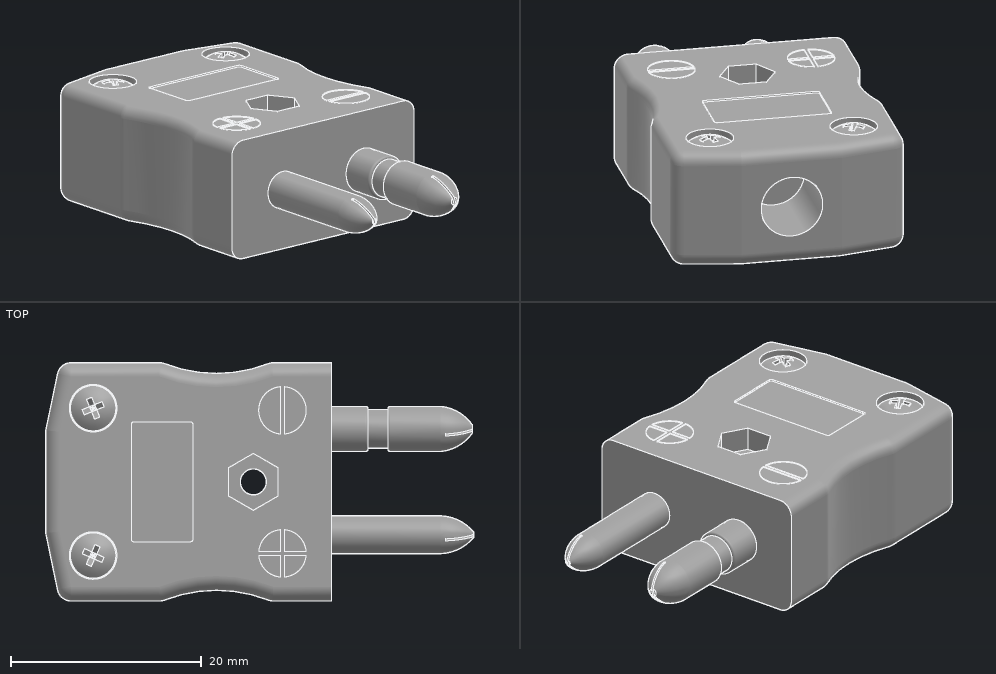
import cadquery as cq
import math

housing_length = 30.0
housing_width = 25.0
housing_height = 12.98
edge_radius = 1.5
rear_flat_width = 10.78
rear_setback = 1.5
grip_x = 17.9
grip_length = 11.35
grip_depth = 1.12
half_width = housing_width / 2
mid_height = housing_height / 2

cable_hole_diameter = 6.6
cable_hole_depth = 9.0

nut_x = 21.78
nut_flats = 5.15
nut_pocket_depth = 2.5
nut_hole_diameter = 2.7

label_x = 12.2
label_length = 6.45
label_width = 12.55
label_corner_radius = 0.25
label_depth = 0.2

mark_x = 24.85
mark_y = 7.5
mark_diameter = 5.0
mark_bar_width = 0.4
mark_depth = 0.1

screw_x = 5.0
screw_y = 7.72
screw_bore_diameter = 5.0
screw_head_diameter = 4.75
screw_shank_diameter = 2.5
screw_shank_length = 5.4
screw_rim_depth = 0.7
screw_head_thickness = 0.9
screw_crown = 0.112
drive_half_length = 1.3
drive_width = 0.6
drive_depth = 1.25
left_screw_angle = 22.0
right_screw_angle = -24.0
screw_seat_z = housing_height - screw_rim_depth - screw_head_thickness

pin_spacing = 11.1
pin_y = pin_spacing / 2
pin_embedment = 4.5
tip_start_x = 41.45
tip_middle_fraction = 0.6
tip_middle_scale = 0.71
tip_slot_width = 0.22
tip_slot_start_x = 41.95
tip_slot_tilt = 16.0
positive_pin_diameter = 4.75
positive_pin_end_x = 44.75
positive_tip_end_radius = 0.4
negative_pin_diameter = 4.0
negative_pin_end_x = 44.9
negative_tip_end_radius = 0.25
groove_diameter = 4.1
groove_start_x = 33.55
groove_end_x = 36.15
groove_lip_radius = 0.25


def housing_outline():
    """Plan outline with slanted rear corners and a finger grip on each side."""
    grip_start = grip_x - grip_length / 2
    grip_end = grip_x + grip_length / 2
    return (
        cq.Workplane("XY")
        .moveTo(0, -rear_flat_width / 2)
        .lineTo(rear_setback, -half_width)
        .lineTo(grip_start, -half_width)
        .threePointArc((grip_x, grip_depth - half_width), (grip_end, -half_width))
        .lineTo(housing_length, -half_width)
        .lineTo(housing_length, half_width)
        .lineTo(grip_end, half_width)
        .threePointArc((grip_x, half_width - grip_depth), (grip_start, half_width))
        .lineTo(rear_setback, half_width)
        .lineTo(0, rear_flat_width / 2)
        .close()
    )


def rounded_shell():
    """Outer block; every edge is rounded except the rear crease lines and the pin face."""
    block = housing_outline().extrude(housing_height)
    side_edges = cq.selectors.BoxSelector(
        (rear_setback / 2, -housing_width, 0),
        (grip_x + grip_length, housing_width, housing_height),
    )
    block = block.edges("|Z").edges(side_edges).fillet(edge_radius)
    return block.faces("<Z or >Z").edges("not >X").fillet(edge_radius)


def polarity_recess(y, bar_angles):
    """Sunken disc around flush bars that form a minus or a plus."""
    floor = cq.Workplane("XY", origin=(mark_x, y, housing_height - mark_depth))
    disc = floor.circle(mark_diameter / 2).extrude(mark_depth)
    bar = floor.rect(mark_bar_width, 2 * mark_diameter).extrude(mark_depth)
    for angle in bar_angles:
        disc = disc.cut(bar.rotate((mark_x, y, 0), (mark_x, y, 1), angle))
    return disc


def nut_pocket():
    """Hexagonal pocket with two flats square to X, and a hole through its floor."""
    corner_diameter = nut_flats / math.cos(math.radians(30))
    pocket = (
        cq.Workplane("XY", origin=(nut_x, 0, housing_height - nut_pocket_depth))
        .polygon(6, corner_diameter)
        .extrude(nut_pocket_depth)
        .rotate((nut_x, 0, 0), (nut_x, 0, 1), 30)
    )
    hole = cq.Workplane("XY", origin=(nut_x, 0, 0)).circle(nut_hole_diameter / 2).extrude(housing_height)
    return pocket.union(hole)


def label_recess():
    """Shallow panel with softened corners."""
    return (
        cq.Workplane("XY", origin=(label_x, 0, housing_height - label_depth))
        .rect(label_length, label_width)
        .extrude(label_depth)
        .edges("|Z")
        .fillet(label_corner_radius)
    )


def screw_hole(y):
    """Clearance bore for the head above a close hole for the shank."""
    seat = cq.Workplane("XY", origin=(screw_x, y, screw_seat_z))
    bore = seat.circle(screw_bore_diameter / 2).extrude(housing_height - screw_seat_z)
    return bore.union(seat.circle(screw_shank_diameter / 2).extrude(-screw_shank_length))


def make_housing(pins):
    """Shell with its holes, recesses and sockets that match the pins."""
    housing = rounded_shell()
    cable_hole = (
        cq.Workplane("YZ", origin=(0, 0, mid_height))
        .circle(cable_hole_diameter / 2)
        .extrude(cable_hole_depth)
    )
    housing = housing.cut(cable_hole).cut(nut_pocket()).cut(label_recess())
    housing = housing.cut(polarity_recess(mark_y, [0]))
    housing = housing.cut(polarity_recess(-mark_y, [0, 90]))
    for y in (screw_y, -screw_y):
        housing = housing.cut(screw_hole(y))
    for pin in pins:
        housing = housing.cut(pin)
    return housing


def make_screw(y, drive_angle):
    """Domed-head screw with a cross drive whose arms deepen toward the centre."""
    dome_height = screw_rim_depth + screw_crown
    head_radius = screw_head_diameter / 2
    shank_radius = screw_shank_diameter / 2
    dome_radius = (head_radius ** 2 + dome_height ** 2) / (2 * dome_height)
    top = screw_head_thickness + dome_height
    middle_radius = head_radius / 2
    middle_z = top - dome_radius + (dome_radius ** 2 - middle_radius ** 2) ** 0.5
    screw = (
        cq.Workplane("XZ")
        .moveTo(0, -screw_shank_length)
        .lineTo(shank_radius, -screw_shank_length)
        .lineTo(shank_radius, 0)
        .lineTo(head_radius, 0)
        .lineTo(head_radius, screw_head_thickness)
        .threePointArc((middle_radius, middle_z), (0, top))
        .close()
        .revolve(360, (0, 0), (0, 1))
    )
    arm = (
        cq.Workplane("XZ", origin=(0, 0, top))
        .moveTo(0, -drive_depth)
        .lineTo(2 * drive_half_length, drive_depth)
        .lineTo(-2 * drive_half_length, drive_depth)
        .close()
        .extrude(drive_width / 2, both=True)
    )
    for angle in (drive_angle, drive_angle + 90):
        screw = screw.cut(arm.rotate((0, 0, 0), (0, 0, 1), angle))
    return screw.translate((screw_x, y, screw_seat_z))


def make_pin(y, diameter, end_x, tip_end_radius):
    """Round pin with a bullet tip that is split by a narrow slot."""
    radius = diameter / 2
    tip_length = end_x - tip_start_x
    tip_middle = (tip_start_x + tip_middle_fraction * tip_length, tip_middle_scale * radius)
    slot_length = end_x - tip_slot_start_x
    pin = (
        cq.Workplane("XY")
        .moveTo(housing_length - pin_embedment, 0)
        .lineTo(housing_length - pin_embedment, radius)
        .lineTo(tip_start_x, radius)
        .threePointArc(tip_middle, (end_x, tip_end_radius))
        .lineTo(end_x, 0)
        .close()
        .revolve(360, (0, 0), (1, 0))
    )
    slot = (
        cq.Workplane("XY")
        .box(slot_length, tip_slot_width, diameter)
        .translate((end_x - slot_length / 2, 0, 0))
        .rotate((0, 0, 0), (1, 0, 0), tip_slot_tilt)
    )
    return pin.cut(slot).translate((0, y, mid_height))


def groove_ring():
    """Ring that cuts the groove into the positive pin and rounds its two lips."""
    groove_radius = groove_diameter / 2
    outer_radius = positive_pin_diameter / 2
    wall_start_x = groove_start_x + groove_lip_radius
    wall_end_x = groove_end_x - groove_lip_radius
    lip_centre_radius = outer_radius - groove_lip_radius
    lip_offset = groove_lip_radius * math.sin(math.radians(45))
    lip_middle_radius = lip_centre_radius + lip_offset
    start_lip_middle = (groove_start_x + lip_offset, lip_middle_radius)
    end_lip_middle = (groove_end_x - lip_offset, lip_middle_radius)
    return (
        cq.Workplane("XY")
        .moveTo(groove_start_x, outer_radius)
        .threePointArc(start_lip_middle, (wall_start_x, lip_centre_radius))
        .lineTo(wall_start_x, groove_radius)
        .lineTo(wall_end_x, groove_radius)
        .lineTo(wall_end_x, lip_centre_radius)
        .threePointArc(end_lip_middle, (groove_end_x, outer_radius))
        .close()
        .revolve(360, (0, 0), (1, 0))
        .translate((0, pin_y, mid_height))
    )


positive_pin = make_pin(pin_y, positive_pin_diameter, positive_pin_end_x, positive_tip_end_radius)
positive_pin = positive_pin.cut(groove_ring())
negative_pin = make_pin(-pin_y, negative_pin_diameter, negative_pin_end_x, negative_tip_end_radius)
pins = [positive_pin, negative_pin]
housing = make_housing(pins)
screws = [make_screw(screw_y, left_screw_angle), make_screw(-screw_y, right_screw_angle)]

bodies = [housing, *pins, *screws]
result = cq.Compound.makeCompound([body.val() for body in bodies])